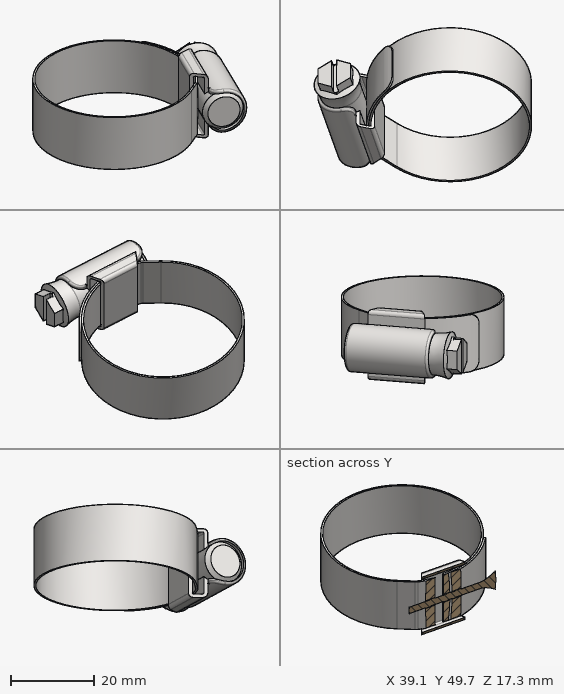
import cadquery as cq
import math


ring_diameter = 39.05
ring_radius = ring_diameter / 2
band_thickness = 0.5
band_height = 14.15
overlap_gap = 0.05
tail_radius = ring_radius + overlap_gap + band_thickness
tail_end_angle = 149.6
tail_corner_radius = 2.75
ring_end_angle = 90.0
bend_start_angle = 70.2
bend_radius = 2.55

screw_y = 24.35
screw_diameter = 10.1
screw_radius = screw_diameter / 2
screw_end_x = 10.55
screw_end_chamfer = 1.05
collar_radius = 5.65
collar_rim_x = -14.45
dome_apex_x = -15.4
collar_waist_x = -12.65
collar_waist_radius = 5.2
hex_end_x = -17.4
hex_across_flats = 8.0
slot_width = 1.25

sheet_thickness = 0.8
cap_radius = screw_radius + sheet_thickness
cap_half_length = screw_end_x
cap_corner_radius = 2.95
cap_edge_radius = 0.6
loop_top_y = 21.45
loop_bottom_y = 17.4
loop_height = 17.3
loop_corner_radius = 1.0
loop_inside_radius = 0.4
loop_top_half_length = 7.15
loop_bottom_half_length = 4.9


def polar(radius, angle):
    """Point at a radius and an angle in degrees from +X, about the ring centre."""
    turn = math.radians(angle)
    return (radius * math.cos(turn), radius * math.sin(turn))


def bisector(first, last):
    return (first + last) / 2


def make_band():
    bend_centre_radius = tail_radius - bend_radius
    bend_sweep = math.degrees(math.acos((ring_radius - bend_radius) / bend_centre_radius))
    ring_start_angle = bend_start_angle - bend_sweep
    bend_centre = cq.Vector(*polar(bend_centre_radius, bend_start_angle))

    def bend_point(inset, angle):
        return bend_centre + cq.Vector(*polar(bend_radius - inset, angle))

    tail_middle = bisector(tail_end_angle, bend_start_angle)
    bend_middle = bisector(bend_start_angle, ring_start_angle)
    ring_middle = bisector(ring_start_angle, ring_end_angle - 360)
    inset = band_thickness
    tail_inside = tail_radius - inset
    ring_inside = ring_radius - inset

    coil = (
        cq.Workplane("XY", origin=(0, 0, -band_height / 2))
        .moveTo(*polar(tail_radius, tail_end_angle))
        .threePointArc(polar(tail_radius, tail_middle), polar(tail_radius, bend_start_angle))
        .threePointArc(bend_point(0, bend_middle), bend_point(0, ring_start_angle))
        .lineTo(*polar(ring_radius, ring_start_angle))
        .threePointArc(polar(ring_radius, ring_middle), polar(ring_radius, ring_end_angle))
        .lineTo(*polar(ring_inside, ring_end_angle))
        .threePointArc(polar(ring_inside, ring_middle), polar(ring_inside, ring_start_angle))
        .lineTo(*bend_point(inset, ring_start_angle).toTuple()[:2])
        .threePointArc(bend_point(inset, bend_middle), bend_point(inset, bend_start_angle))
        .threePointArc(polar(tail_inside, tail_middle), polar(tail_inside, tail_end_angle))
        .close()
        .extrude(band_height)
    )
    tail_end = polar(bisector(tail_radius, tail_inside), tail_end_angle)
    for side in (-1, 1):
        corner = cq.selectors.NearestToPointSelector((*tail_end, side * band_height / 2))
        coil = coil.edges(corner).fillet(tail_corner_radius)

    return coil.cut(screw_bore())


def screw_bore():
    return (
        cq.Workplane("YZ", origin=(-cap_half_length, screw_y, 0))
        .circle(screw_radius)
        .extrude(2 * cap_half_length)
    )


def make_screw():
    dome_depth = collar_rim_x - dome_apex_x
    dome_sphere = (collar_radius**2 + dome_depth**2) / (2 * dome_depth)
    dome_middle_radius = collar_radius / 2
    dome_middle_x = dome_apex_x + dome_sphere - math.sqrt(dome_sphere**2 - dome_middle_radius**2)

    shank = (
        cq.Workplane("XY", origin=(0, screw_y, 0))
        .moveTo(dome_apex_x, 0)
        .threePointArc((dome_middle_x, dome_middle_radius), (collar_rim_x, collar_radius))
        .threePointArc((collar_waist_x, collar_waist_radius), (-cap_half_length, screw_radius))
        .lineTo(screw_end_x - screw_end_chamfer, screw_radius)
        .lineTo(screw_end_x, screw_radius - screw_end_chamfer)
        .lineTo(screw_end_x, 0)
        .close()
        .revolve(360, (0, 0, 0), (1, 0, 0))
    )
    hex_across_corners = hex_across_flats / math.cos(math.pi / 6)
    head = (
        cq.Workplane("YZ", origin=(hex_end_x, screw_y, 0))
        .transformed(rotate=(0, 0, 90))
        .polygon(6, hex_across_corners)
        .extrude(collar_rim_x - hex_end_x)
    )
    slot = (
        cq.Workplane("YZ", origin=(hex_end_x, screw_y, 0))
        .rect(slot_width, 2 * hex_across_corners)
        .extrude(dome_apex_x - hex_end_x)
    )
    return shank.union(head).cut(slot)


def make_cap():
    """Curved sheet over the screw, its lower corners rounded down to the loop."""
    slope = (loop_top_half_length - loop_bottom_half_length) / (loop_top_y - loop_bottom_y)
    foot_y = loop_top_y - sheet_thickness
    foot_half_length = loop_top_half_length - slope * sheet_thickness
    cap_top_y = screw_y + cap_radius
    corner_end = cap_half_length - cap_corner_radius
    corner_top_y = loop_top_y + cap_corner_radius

    outline = (
        cq.Workplane("XY", origin=(0, 0, -cap_radius))
        .moveTo(-cap_half_length, cap_top_y)
        .lineTo(-cap_half_length, corner_top_y)
        .radiusArc((-corner_end, loop_top_y), -cap_corner_radius)
        .lineTo(-loop_top_half_length, loop_top_y)
        .lineTo(-foot_half_length, foot_y)
        .lineTo(foot_half_length, foot_y)
        .lineTo(loop_top_half_length, loop_top_y)
        .lineTo(corner_end, loop_top_y)
        .radiusArc((cap_half_length, corner_top_y), -cap_corner_radius)
        .lineTo(cap_half_length, cap_top_y)
        .close()
        .extrude(2 * cap_radius)
    )
    cap = (
        cq.Workplane("YZ", origin=(-cap_half_length, screw_y, 0))
        .circle(cap_radius)
        .extrude(2 * cap_half_length)
        .intersect(outline)
        .cut(screw_bore())
    )
    for side in (-1, 1):
        crest = (side * cap_half_length, cap_top_y, 0)
        cap = cap.edges(cq.selectors.NearestToPointSelector(crest)).fillet(cap_edge_radius)
    return cap


def make_loop():
    """Rectangular sheet loop around the band, its ends sloping in towards the bottom."""
    depth = loop_top_y - loop_bottom_y
    middle_y = bisector(loop_top_y, loop_bottom_y)
    length = 2 * loop_top_half_length
    outside = (
        cq.Workplane("YZ", origin=(-loop_top_half_length, middle_y, 0))
        .rect(depth, loop_height)
        .extrude(length)
        .edges("|X")
        .fillet(loop_corner_radius)
    )
    inside = (
        cq.Workplane("YZ", origin=(-loop_top_half_length, middle_y, 0))
        .rect(depth - 2 * sheet_thickness, loop_height - 2 * sheet_thickness)
        .extrude(length)
        .edges("|X")
        .fillet(loop_inside_radius)
    )
    trapezoid = (
        cq.Workplane("XY", origin=(0, 0, -loop_height / 2))
        .moveTo(-loop_top_half_length, loop_top_y)
        .lineTo(loop_top_half_length, loop_top_y)
        .lineTo(loop_bottom_half_length, loop_bottom_y)
        .lineTo(-loop_bottom_half_length, loop_bottom_y)
        .close()
        .extrude(loop_height)
    )
    return outside.cut(inside).intersect(trapezoid).cut(screw_bore())


def make_housing():
    return make_cap().union(make_loop())


band = make_band()
screw = make_screw()
housing = make_housing()

result = cq.Compound.makeCompound([*band.solids().vals(), *screw.solids().vals(), *housing.solids().vals()])